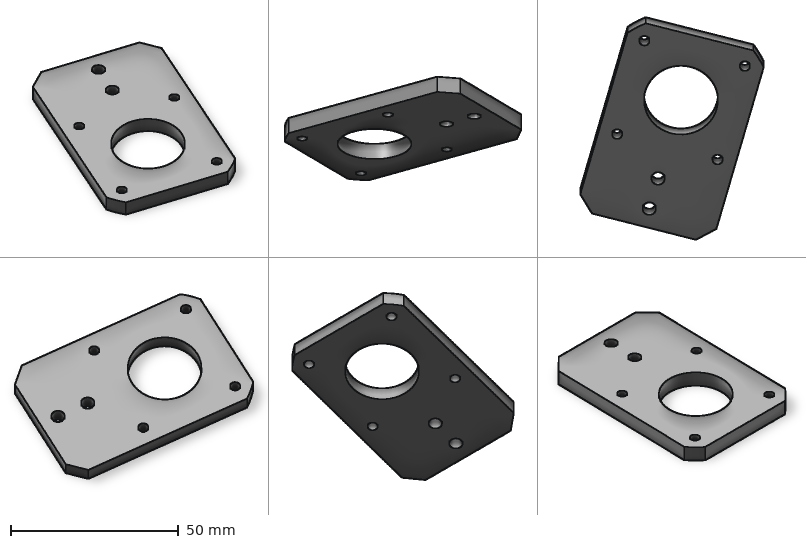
import cadquery as cq
import math

length = 63.0
width = 42.0
thickness = 5.0
left_chamfer = 5.0
corner_radius = 26.8

bore_diameter = 22.0
screw_diameter = 3.0
screw_spacing = 31.0
mount_diameter = 4.0
mount_edge_distance = 6.0
mount_spacing = 10.0

half_width = width / 2
right = half_width
left = right - length
corner_offset = math.sqrt(corner_radius**2 - half_width**2)
corner_mid = corner_radius / math.sqrt(2)


def make_plate():
    """Plate with straight left chamfers and rounded right corners."""
    return (
        cq.Workplane("XY")
        .moveTo(left + left_chamfer, -half_width)
        .lineTo(corner_offset, -half_width)
        .threePointArc((corner_mid, -corner_mid), (right, -corner_offset))
        .lineTo(right, corner_offset)
        .threePointArc((corner_mid, corner_mid), (corner_offset, half_width))
        .lineTo(left + left_chamfer, half_width)
        .lineTo(left, half_width - left_chamfer)
        .lineTo(left, -half_width + left_chamfer)
        .close()
        .extrude(thickness)
    )


def through_holes(centers, diameter):
    """Cylinders that cut through the whole plate."""
    return cq.Workplane("XY").pushPoints(centers).circle(diameter / 2).extrude(thickness)


half_spacing = screw_spacing / 2
screw_centers = [(x, y) for x in (-half_spacing, half_spacing) for y in (-half_spacing, half_spacing)]
first_mount_x = left + mount_edge_distance
mount_centers = [(first_mount_x, 0), (first_mount_x + mount_spacing, 0)]

result = (
    make_plate()
    .cut(through_holes([(0, 0)], bore_diameter))
    .cut(through_holes(screw_centers, screw_diameter))
    .cut(through_holes(mount_centers, mount_diameter))
)